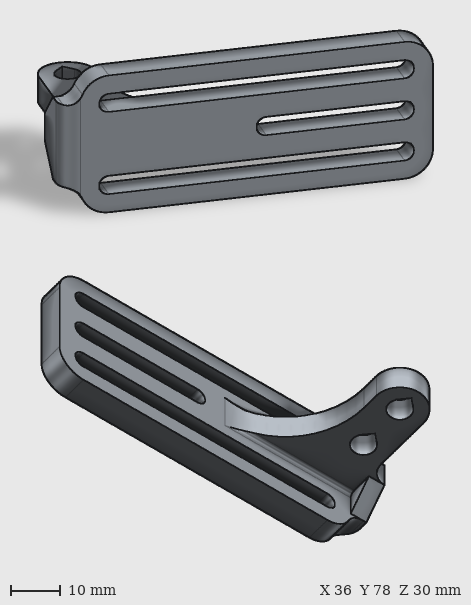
import cadquery as cq
import math

plate_length = 78.0
plate_height = 30.0
thickness = 6.0
corner_radius = thickness
end_depth = 4.0
blend_radius = end_depth

slot_width = 4.0
slot_inset = 6.0
middle_slot_span = 29.0

reach = 36.0
lug_width = 2 * corner_radius
lug_radius = lug_width / 2
gusset_radius = 20.0
root_fillet = 1.2
hole_radius = 2.7
hole_spacing = 12.0

face_x = -thickness
tail_y = plate_length
shoulder_y = end_depth
lug_y = shoulder_y + lug_radius
lug_top_y = lug_y + lug_radius
tip_x = -reach + lug_radius
pad_x = face_x - thickness
half_height = plate_height / 2
half_strip = half_height - corner_radius
half_lug = thickness / 2
diagonal = math.sqrt(0.5)


def make_plate():
    """Rounded plate whose end narrows through an S-curve to the strip."""
    sum_radius = corner_radius + blend_radius
    blend_angle = math.asin(blend_radius / sum_radius)
    blend_y = lug_y - sum_radius * math.cos(blend_angle)
    blend_z = half_strip + blend_radius
    meet_y = lug_y - corner_radius * math.cos(blend_angle)
    meet_z = half_strip + corner_radius * math.sin(blend_angle)
    corner_angle = (math.pi / 2 + blend_angle) / 2
    corner_mid_y = lug_y - corner_radius * math.cos(corner_angle)
    corner_mid_z = half_strip + corner_radius * math.sin(corner_angle)
    concave_angle = (math.pi / 2 + blend_angle) / 2
    concave_mid_y = blend_y + blend_radius * math.cos(concave_angle)
    concave_mid_z = blend_z - blend_radius * math.sin(concave_angle)
    tail_center_y = tail_y - corner_radius
    tail_mid_y = tail_center_y + corner_radius * diagonal
    tail_mid_z = half_strip + corner_radius * diagonal
    upper_half = (
        cq.Workplane("YZ")
        .moveTo(0, 0)
        .lineTo(0, half_strip)
        .lineTo(blend_y, half_strip)
        .threePointArc((concave_mid_y, concave_mid_z), (meet_y, meet_z))
        .threePointArc((corner_mid_y, corner_mid_z), (lug_y, half_height))
        .lineTo(tail_center_y, half_height)
        .threePointArc((tail_mid_y, tail_mid_z), (tail_y, half_strip))
        .lineTo(tail_y, 0)
        .close()
        .extrude(-thickness)
    )
    plate = upper_half.union(upper_half.mirror("XY")).clean()
    return plate.intersect(rounded_end_envelope())


def rounded_end_envelope():
    """Plate-sized block with its outer edge rounded at the strip end."""
    return (
        cq.Workplane("XY")
        .box(thickness, plate_length, plate_height, centered=(False, False, True))
        .translate((face_x, 0, 0))
        .edges(">X and <Y")
        .fillet(blend_radius)
    )


def slot(start_y, end_y, center_z):
    return (
        cq.Workplane("YZ")
        .center((start_y + end_y) / 2, center_z)
        .slot2D(end_y - start_y + slot_width, slot_width)
        .extrude(-thickness)
    )


def lug_outline():
    """Plan outline of the arm with its large gusset curve."""
    gusset_x = face_x - gusset_radius
    gusset_y = lug_top_y + gusset_radius
    gusset_mid = (gusset_x + gusset_radius * diagonal, gusset_y - gusset_radius * diagonal)
    inner_x = pad_x - blend_radius
    inner_mid = (inner_x + blend_radius * diagonal, blend_radius * diagonal)
    return (
        cq.Workplane("XY")
        .workplane(offset=-half_strip)
        .moveTo(face_x, 0)
        .lineTo(face_x, gusset_y)
        .threePointArc(gusset_mid, (gusset_x, lug_top_y))
        .lineTo(tip_x, lug_top_y)
        .threePointArc((-reach, lug_y), (tip_x, shoulder_y))
        .lineTo(inner_x, shoulder_y)
        .threePointArc(inner_mid, (pad_x, 0))
        .close()
        .extrude(2 * half_strip)
    )


def lug_section():
    """Arm cross-section, flared by fillets where it meets the plate."""
    fillet_x = face_x - root_fillet
    fillet_z = half_lug + root_fillet
    mid_x = fillet_x + root_fillet * diagonal
    mid_z = fillet_z - root_fillet * diagonal
    return (
        cq.Workplane("XZ")
        .moveTo(-reach, -half_lug)
        .lineTo(fillet_x, -half_lug)
        .threePointArc((mid_x, -mid_z), (face_x, -fillet_z))
        .lineTo(face_x, fillet_z)
        .threePointArc((mid_x, mid_z), (fillet_x, half_lug))
        .lineTo(-reach, half_lug)
        .close()
        .extrude(-plate_length)
    )


def make_end_pad():
    """Tapered pad bracing the arm across the strip end."""
    return (
        cq.Workplane("XZ")
        .moveTo(pad_x, -half_lug)
        .lineTo(face_x, -half_strip)
        .lineTo(face_x, half_strip)
        .lineTo(pad_x, half_lug)
        .close()
        .extrude(-end_depth)
    )


def teardrop_hole(center_x):
    """Round hole with a right-angled point towards the arm tip."""
    tangent = hole_radius * diagonal
    return (
        cq.Workplane("XY")
        .workplane(offset=-half_lug)
        .moveTo(center_x - hole_radius / diagonal, lug_y)
        .lineTo(center_x - tangent, lug_y + tangent)
        .threePointArc((center_x + hole_radius, lug_y), (center_x - tangent, lug_y - tangent))
        .close()
        .extrude(thickness)
    )


result = make_plate().union(lug_outline().intersect(lug_section())).union(make_end_pad())

slot_tail_y = tail_y - slot_inset
outer_slot_z = half_height - slot_inset
for slot_z in (-outer_slot_z, outer_slot_z):
    result = result.cut(slot(lug_y, slot_tail_y, slot_z))
result = result.cut(slot(slot_tail_y - middle_slot_span, slot_tail_y, 0))

for hole_x in (tip_x, tip_x + hole_spacing):
    result = result.cut(teardrop_hole(hole_x))